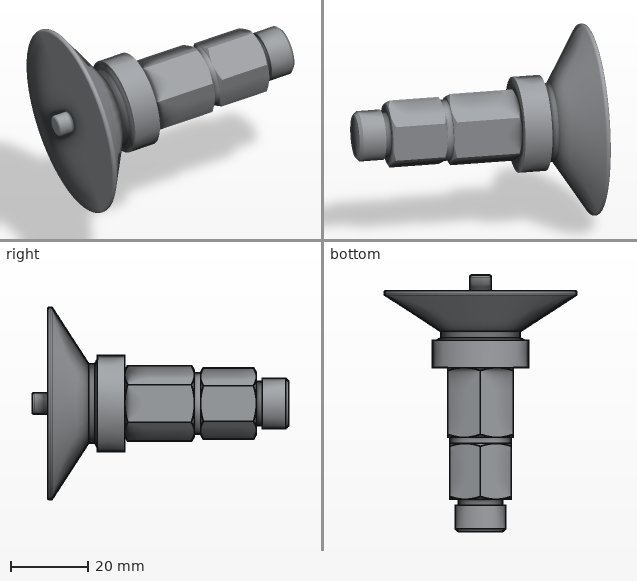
import cadquery as cq
import math

pin_diameter = 5.6
cup_diameter = 50.0
cup_neck_diameter = 20.6
relief_diameter = 22.85
disc_diameter = 25.0
collar_diameter = 16.0
thread_diameter = 13.1
undercut_diameter = 11.45

large_hex_flats = 17.0
small_hex_flats = 16.0

total_length = 66.65
pin_length = 4.05
pin_tip_round = 0.6
rim_round = 0.5
rim_height = 1.05
cone_length = 9.5
cup_neck_length = 1.65
relief_length = 0.6
disc_length = 7.1
large_hex_length = 18.05
collar_length = 1.6
small_hex_length = 14.45
undercut_length = 1.5
thread_chamfer = 0.85
hex_chamfer_angle = 30.0

pin_tip = -total_length / 2
cup_face = pin_tip + pin_length
rim_back = cup_face + rim_height
cone_back = rim_back + cone_length
neck_back = cone_back + cup_neck_length
disc_front = neck_back + relief_length
disc_back = disc_front + disc_length
large_hex_back = disc_back + large_hex_length
collar_back = large_hex_back + collar_length
small_hex_back = collar_back + small_hex_length
thread_front = small_hex_back + undercut_length
thread_end = total_length / 2


def turned(profile):
    """Revolve (diameter, station) steps about the Y axis."""
    steps = [(diameter / 2, station) for diameter, station in profile]
    outline = [(0, steps[0][1])] + steps + [(0, steps[-1][1])]
    return cq.Workplane("XY").polyline(outline).close().revolve(360, (0, 0), (0, 1))


def hexagon(flats, front, back):
    """Hexagon with corners on +Z and -Z and both ends turned to a cone."""
    corners = flats / math.cos(math.radians(30))
    chamfer = (corners - flats) / 2 * math.tan(math.radians(hex_chamfer_angle))
    prism = (
        cq.Workplane("XZ", origin=(0, front, 0))
        .transformed(rotate=(0, 0, 90))
        .polygon(6, corners)
        .extrude(front - back)
    )
    envelope = turned([
        (flats, front),
        (corners, front + chamfer),
        (corners, back - chamfer),
        (flats, back),
    ])
    return prism.intersect(envelope)


cup = turned([
    (pin_diameter, pin_tip),
    (pin_diameter, cup_face),
    (cup_diameter, cup_face),
    (cup_diameter, rim_back),
    (cup_neck_diameter, cone_back),
    (cup_neck_diameter, neck_back),
    (relief_diameter, disc_front),
    (disc_diameter, disc_front),
    (disc_diameter, disc_back),
])

cup = cup.faces("<Y").edges().fillet(pin_tip_round)
rim_edges = cq.selectors.RadiusNthSelector(-1)
cup = cup.edges("%CIRCLE").edges(rim_edges).fillet(rim_round)

large_hex = hexagon(large_hex_flats, disc_back, large_hex_back)
collar = turned([(collar_diameter, large_hex_back), (collar_diameter, collar_back)])
small_hex = hexagon(small_hex_flats, collar_back, small_hex_back)

thread = turned([
    (undercut_diameter, small_hex_back),
    (undercut_diameter, thread_front),
    (thread_diameter, thread_front),
    (thread_diameter, thread_end - thread_chamfer),
    (thread_diameter - 2 * thread_chamfer, thread_end),
])

result = cup.union(large_hex).union(collar).union(small_hex).union(thread)